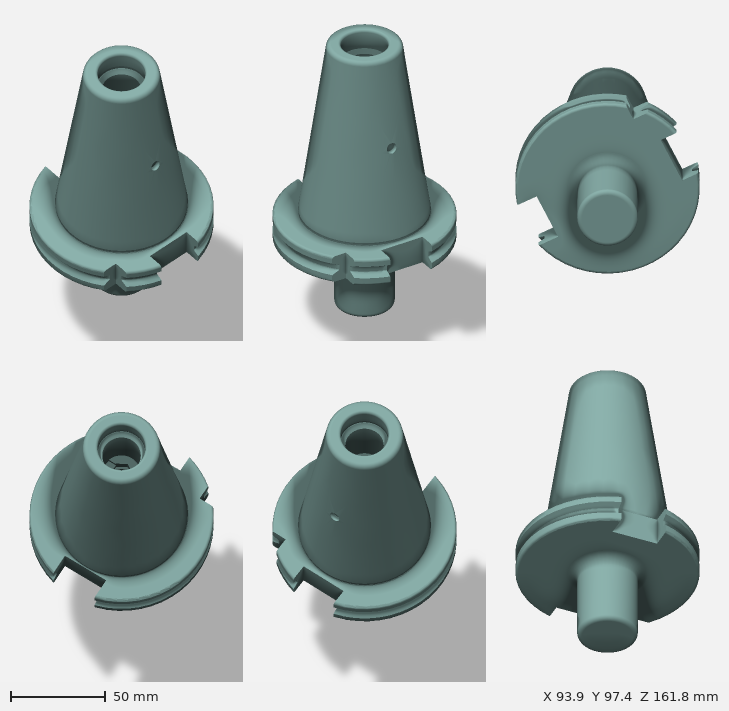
import cadquery as cq
import math


total_height = 161.8
taper_slope = 7 / 48
gauge_height = 60.0
gauge_radius = 35.0
taper_bottom = 58.9
taper_edge_round = 2.6

flange_radius = 48.7
flange_bottom = 41.0
flange_top = 56.8
flange_edge_round = 1.5

neck_radius = 35.0
neck_chamfer_height = 0.8
neck_fillet = 0.5

groove_height = 49.0
groove_floor_radius = 45.3
groove_floor_width = 3.2
groove_fillet = 0.5
groove_wall_angle = 30.0

shank_radius = 16.0
shank_fillet = 5.0
shank_edge_round = 2.5

slot_width = 25.7
slot_floor_left = 35.5
slot_floor_right = 37.7
notch_offset = 30.0

bore_radius = 12.6
bore_depth = 9.4
bore_edge_round = 1.5
relief_radius = 13.1
relief_width = 2.1
thread_radius = 10.2
seat_angle = 36.0
thread_depth = 40.5

head_chamfer = 0.5
driver_slot_width = 5.5
driver_slot_depth = 2.0
hex_across_flats = 10.5
hex_depth = 4.9
hex_turn = 30.0
pilot_radius = 4.0
pilot_floor_radius = 3.4
pilot_depth = 4.9

pocket_radius = 2.9
pocket_height = 110.6
pocket_depth = 2.5


def taper_radius(height):
    return gauge_radius - (height - gauge_height) * taper_slope


def disc(radius, bottom, top):
    return cq.Workplane("XY").workplane(offset=bottom).circle(radius).extrude(top - bottom)


def taper():
    profile = [
        (0, taper_bottom),
        (taper_radius(taper_bottom), taper_bottom),
        (taper_radius(total_height), total_height),
        (0, total_height),
    ]
    body = cq.Workplane("XZ").polyline(profile).close().revolve(360, (0, 0, 0), (0, 1, 0))
    return body.faces(">Z").edges().fillet(taper_edge_round)


def neck():
    """Relief that tapers in below the cone and blends into the top of the flange."""
    return (
        cq.Workplane("XZ")
        .moveTo(0, flange_top)
        .lineTo(neck_radius + neck_fillet, flange_top)
        .radiusArc((neck_radius, flange_top + neck_fillet), neck_fillet)
        .lineTo(neck_radius, taper_bottom - neck_chamfer_height)
        .lineTo(taper_radius(taper_bottom), taper_bottom)
        .lineTo(0, taper_bottom)
        .close()
        .revolve(360, (0, 0, 0), (0, 1, 0))
    )


def shank():
    """Round shank that flares into the underside of the flange."""
    flare_start = flange_bottom - shank_fillet
    return (
        cq.Workplane("XZ")
        .lineTo(shank_radius - shank_edge_round, 0)
        .radiusArc((shank_radius, shank_edge_round), -shank_edge_round)
        .lineTo(shank_radius, flare_start)
        .radiusArc((shank_radius + shank_fillet, flange_bottom), shank_fillet)
        .lineTo(0, flange_bottom)
        .close()
        .revolve(360, (0, 0, 0), (0, 1, 0))
    )


def groove_ring():
    rise = (flange_radius - groove_floor_radius) * math.tan(math.radians(groove_wall_angle))
    half_floor = groove_floor_width / 2
    profile = [
        (groove_floor_radius, groove_height - half_floor),
        (flange_radius, groove_height - half_floor - rise),
        (flange_radius, groove_height + half_floor + rise),
        (groove_floor_radius, groove_height + half_floor),
    ]
    ring = cq.Workplane("XZ").polyline(profile).close().revolve(360, (0, 0, 0), (0, 1, 0))
    floor_edges = cq.selectors.RadiusNthSelector(0)
    return ring.edges(floor_edges).fillet(groove_fillet)


def flange_cut(x_min, x_max, y_min, y_max):
    """Block that clears one rectangle of the flange through its full thickness."""
    return cq.Workplane("XY").box(
        x_max - x_min, y_max - y_min, flange_top - flange_bottom, centered=False
    ).translate((x_min, y_min, flange_bottom))


def flange():
    body = disc(flange_radius, flange_bottom, flange_top).edges().fillet(flange_edge_round)
    body = body.cut(groove_ring())
    reach = 2 * flange_radius
    half_slot = slot_width / 2
    body = body.cut(flange_cut(-reach, -slot_floor_left, -half_slot, half_slot))
    body = body.cut(flange_cut(slot_floor_right, reach, -half_slot, half_slot))
    return body.cut(flange_cut(notch_offset, reach, -reach, -notch_offset))


def bore():
    """Rounded mouth, relief, conical seat and threaded bore down to the chamfered screw head."""
    relief_top = total_height - bore_depth
    seat_top = relief_top - relief_width
    seat_bottom = seat_top - (bore_radius - thread_radius) * math.tan(math.radians(seat_angle))
    foot = total_height - thread_depth
    return (
        cq.Workplane("XZ")
        .moveTo(0, total_height)
        .lineTo(bore_radius + bore_edge_round, total_height)
        .radiusArc((bore_radius, total_height - bore_edge_round), -bore_edge_round)
        .lineTo(bore_radius, relief_top)
        .lineTo(relief_radius, relief_top)
        .lineTo(relief_radius, seat_top)
        .lineTo(bore_radius, seat_top)
        .lineTo(thread_radius, seat_bottom)
        .lineTo(thread_radius, foot - head_chamfer)
        .lineTo(thread_radius - head_chamfer, foot)
        .lineTo(0, foot)
        .close()
        .revolve(360, (0, 0, 0), (0, 1, 0))
    )


def screw_recess():
    """Driver slot along Y, hexagon socket with corners on X, and pilot hole with a tapered foot."""
    face = total_height - thread_depth
    slot = (
        disc(thread_radius, face - driver_slot_depth, face)
        .intersect(cq.Workplane("XY").box(driver_slot_width, 2 * thread_radius, 2 * total_height))
    )
    socket = (
        cq.Workplane("XY")
        .workplane(offset=face)
        .polygon(6, hex_across_flats, circumscribed=True)
        .extrude(-hex_depth)
        .rotate((0, 0, 0), (0, 0, 1), hex_turn)
    )
    socket_floor = face - hex_depth
    pilot = disc(pilot_radius, socket_floor - pilot_depth, socket_floor)
    pilot = pilot.faces("<Z").chamfer(pilot_radius - pilot_floor_radius)
    return slot.union(socket).union(pilot)


def side_pocket():
    floor = taper_radius(pocket_height) - pocket_depth
    return (
        cq.Workplane("YZ")
        .workplane(offset=floor)
        .center(0, pocket_height)
        .circle(pocket_radius)
        .extrude(gauge_radius - floor)
    )


result = shank().union(flange()).union(neck()).union(taper())
result = result.cut(bore()).cut(screw_recess()).cut(side_pocket())